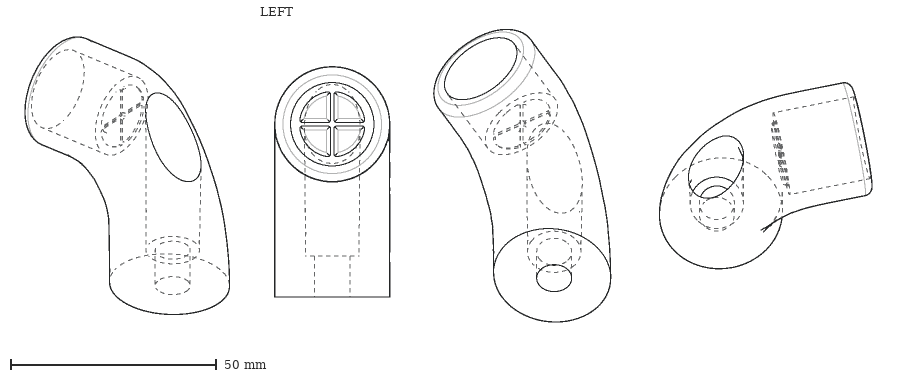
import cadquery as cq
import math

height = 56.0
length = 50.0
tube_diameter = 28.0
tube_radius = tube_diameter / 2
mouth_z = height - tube_radius
mouth_fillet = 2.0

inner_bend_radius = 9.95
bend_x = 10.0
bend_z = height - tube_diameter - inner_bend_radius
crown_radius = 22.4
crown_x = 16.25
crown_z = height - crown_radius

mouth_steps = 4
bend_steps = 14
leg_steps = 7

bore_diameter = 20.3
bore_depth = 20.0
pocket_radius = 7.95
pocket_depth = 1.0
pocket_floor_fillet = 0.95
pocket_corner_fillet = 0.7
rib_width = 0.85

screw_x = length - tube_radius
screw_diameter = 8.5
head_diameter = 13.0
head_seat_z = 10.0
head_wall_lean = 1.0

crown_reach = length - crown_x
back_radius = (crown_reach**2 + crown_z**2 - crown_radius**2) / (2 * (crown_reach - crown_radius))
back_x = length - back_radius
tangent_angle = math.atan2(crown_z, crown_x - back_x)


def ray_to_arc(angle, center_x, center_z, radius):
    """Distance from the bend centre to an arc, along a ray at the given angle."""
    offset_x = center_x - bend_x
    offset_z = center_z - bend_z
    along = offset_x * math.cos(angle) + offset_z * math.sin(angle)
    return along + math.sqrt(along**2 + radius**2 - offset_x**2 - offset_z**2)


def outer_reach(angle):
    """Distance from the bend centre to the outer profile, along a ray."""
    reach = ray_to_arc(angle, crown_x, crown_z, crown_radius)
    touch_x = bend_x + reach * math.cos(angle)
    touch_z = bend_z + reach * math.sin(angle)
    if touch_x <= crown_x:
        return (height - bend_z) / math.sin(angle)
    if math.atan2(touch_z - crown_z, touch_x - crown_x) >= tangent_angle:
        return reach
    return ray_to_arc(angle, back_x, 0, back_radius)


def section(x, z, angle, in_plane_radius):
    """Elliptical wire centred at (x, 0, z), with one axis along the ray and the other along Y.

    Every wire starts on the +Y side, so that the lofted skin does not twist.
    """
    ray = cq.Vector(math.cos(angle), 0, math.sin(angle))
    normal = cq.Vector(math.sin(angle), 0, -math.cos(angle))
    center = cq.Vector(x, 0, z)
    if in_plane_radius > tube_radius:
        edge = cq.Edge.makeEllipse(in_plane_radius, tube_radius, center, normal, ray, 270, 630)
    else:
        edge = cq.Edge.makeEllipse(tube_radius, in_plane_radius, center, normal, cq.Vector(0, 1, 0), 0, 360)
    return cq.Wire.assembleEdges([edge])


def mouth_section(x):
    return section(x, mouth_z, math.pi / 2, tube_radius)


def bend_section(angle):
    outer = outer_reach(angle)
    middle = (outer + inner_bend_radius) / 2
    x = bend_x + middle * math.cos(angle)
    z = bend_z + middle * math.sin(angle)
    return section(x, z, angle, (outer - inner_bend_radius) / 2)


def leg_section(z):
    inner_x = bend_x + inner_bend_radius
    outer_x = back_x + math.sqrt(back_radius**2 - z**2)
    return section((inner_x + outer_x) / 2, z, 0, (outer_x - inner_x) / 2)


def bent_body():
    sections = [mouth_section(bend_x * i / mouth_steps) for i in range(mouth_steps)]
    sections += [bend_section(math.pi / 2 * (1 - i / bend_steps)) for i in range(bend_steps + 1)]
    sections += [leg_section(bend_z * (1 - i / leg_steps)) for i in range(1, leg_steps + 1)]
    body = cq.Workplane(cq.Solid.makeLoft(sections))
    return body.faces("<X").edges().fillet(mouth_fillet)


def floor_pockets():
    plane = cq.Workplane("YZ", origin=(bore_depth, 0, mouth_z))
    disc = plane.circle(pocket_radius).extrude(pocket_depth)
    ribs = plane.rect(rib_width, tube_diameter).extrude(pocket_depth)
    ribs = ribs.union(plane.rect(tube_diameter, rib_width).extrude(pocket_depth))
    prisms = disc.cut(ribs)
    rounded_floor = prisms.faces(">X").edges().fillet(pocket_floor_fillet)
    return rounded_floor.intersect(prisms.edges("|X").fillet(pocket_corner_fillet))


def bore():
    return cq.Workplane("YZ", origin=(0, 0, mouth_z)).circle(bore_diameter / 2).extrude(bore_depth)


def screw_hole():
    hole = cq.Workplane("XY").center(screw_x, 0).circle(screw_diameter / 2).extrude(height)
    rise = height - head_seat_z
    lean = rise * math.tan(math.radians(head_wall_lean))
    seat = cq.Workplane("XY", origin=(screw_x, 0, head_seat_z)).circle(head_diameter / 2)
    top = seat.workplane(offset=rise).center(lean / 2, 0).circle((head_diameter + lean) / 2)
    return hole.union(top.loft())


result = bent_body().cut(bore()).cut(floor_pockets()).cut(screw_hole())